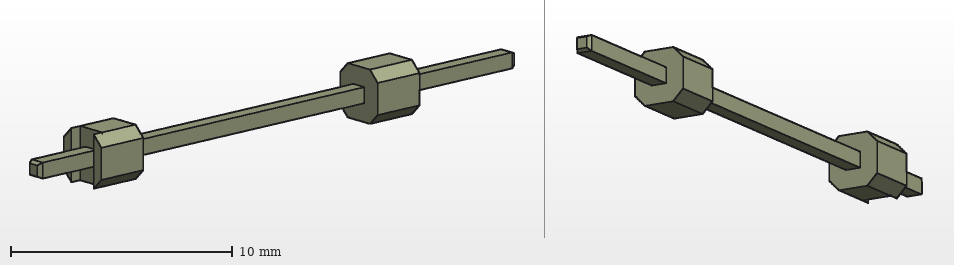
import cadquery as cq

pin_length = 28.95
pin_width = 0.75
tip_length = 0.23
tip_inset = 0.12

collar_size = 2.55
collar_chamfer = 0.52
front_collar_y = -10.22
collar_pitch = 16.75
rear_collar_y = front_collar_y + collar_pitch

slot_width = collar_size - 2 * collar_chamfer
slot_depth = 0.52


def make_pin():
    """Square pin whose two ends taper on all four sides."""
    half_width = pin_width / 2
    half_tip = half_width - tip_inset
    half_length = pin_length / 2
    shoulder = half_length - tip_length
    outline = [
        (-half_width, -shoulder),
        (-half_tip, -half_length),
        (half_tip, -half_length),
        (half_width, -shoulder),
        (half_width, shoulder),
        (half_tip, half_length),
        (-half_tip, half_length),
        (-half_width, shoulder),
    ]
    plan_prism = cq.Workplane("XY").polyline(outline).close().extrude(half_width, both=True)
    side_prism = plan_prism.rotate((0, 0, 0), (0, 1, 0), 90)
    return plan_prism.intersect(side_prism)


def make_collar(center_y):
    """Cube with its four lengthwise edges chamfered."""
    collar = cq.Workplane("XY").box(collar_size, collar_size, collar_size)
    return collar.edges("|Y").chamfer(collar_chamfer).translate((0, center_y, 0))


def make_slot():
    """Full-height channel cut into the collar's front face."""
    slot = cq.Workplane("XY").box(slot_width, slot_depth, collar_size)
    slot_y = front_collar_y - collar_size / 2 + slot_depth / 2
    return slot.translate((0, slot_y, 0))


front_collar = make_collar(front_collar_y).cut(make_slot())
rear_collar = make_collar(rear_collar_y)
result = make_pin().union(front_collar).union(rear_collar)